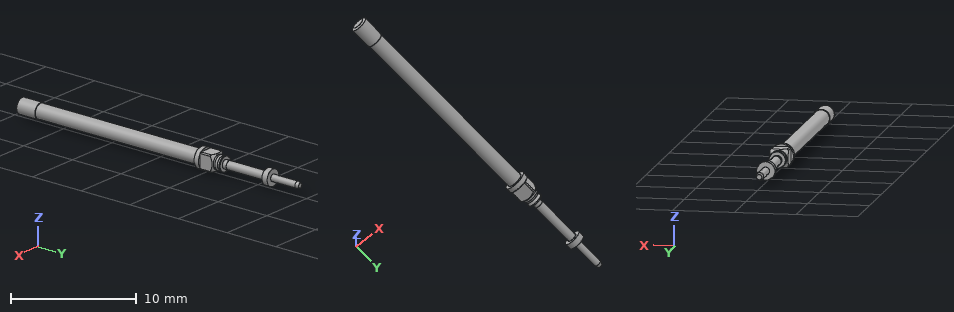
import cadquery as cq

TOTAL_LENGTH = 28.7

TIP_DIAMETER = 0.63
TIP_CHAMFER_LENGTH = 0.3
TIP_CHAMFER_DEPTH = 0.1

COLLAR_DIAMETER = 1.5
COLLAR_START = 2.8
COLLAR_WIDTH = 0.55

SHAFT_DIAMETER = 0.8
SHAFT_END = 7.3
NECK_DIAMETER = 0.79

MOUTH_DIAMETER = 1.35
MOUTH_START = 7.7
MOUTH_LIP_WIDTH = 0.1
GROOVE_DIAMETER = 1.17
GROOVE_BOTTOM = 8.05
GROOVE_END = 8.23

SQUARE_WIDTH = 1.5
SQUARE_CORNER_DIAMETER = 1.98
SQUARE_START = 8.4
SQUARE_CHAMFER_LENGTH = 0.25

FLANGE_DIAMETER = 1.9
FLANGE_START = 9.7
FLANGE_WIDTH = 0.45

BARREL_DIAMETER = 1.35
SLEEVE_DIAMETER = 1.45
SLEEVE_LENGTH = 2.0
SLEEVE_CHAMFER_LENGTH = 0.1
SLEEVE_CHAMFER_DEPTH = 0.23

FLANGE_END = FLANGE_START + FLANGE_WIDTH


def y_at(station):
    """Y position of a distance measured back from the tip."""
    return FLANGE_END - station


def revolve_profile(rings):
    """Turn a body about the Y axis from (diameter, station) pairs."""
    outline = [(diameter / 2, y_at(station)) for diameter, station in rings]
    outline.insert(0, (0, outline[0][1]))
    outline.append((0, outline[-1][1]))
    return cq.Workplane("XY").polyline(outline).close().revolve(360, (0, 0), (0, 1))


def cylinder(diameter, start, end):
    return revolve_profile([(diameter, start), (diameter, end)])


def plunger():
    """Chamfered tip, collar, shaft and neck, ending at the mouth."""
    pin = revolve_profile([
        (TIP_DIAMETER - 2 * TIP_CHAMFER_DEPTH, 0),
        (TIP_DIAMETER, TIP_CHAMFER_LENGTH),
        (TIP_DIAMETER, COLLAR_START),
    ])
    collar = cylinder(COLLAR_DIAMETER, COLLAR_START, COLLAR_START + COLLAR_WIDTH)
    shaft = cylinder(SHAFT_DIAMETER, COLLAR_START + COLLAR_WIDTH, SHAFT_END)
    neck = cylinder(NECK_DIAMETER, SHAFT_END, MOUTH_START)
    return pin.union(collar).union(shaft).union(neck)


def mouth():
    """Grooved ring ahead of the square section."""
    return revolve_profile([
        (MOUTH_DIAMETER, MOUTH_START),
        (MOUTH_DIAMETER, MOUTH_START + MOUTH_LIP_WIDTH),
        (GROOVE_DIAMETER, GROOVE_BOTTOM),
        (MOUTH_DIAMETER, GROOVE_END),
        (MOUTH_DIAMETER, SQUARE_START),
    ])


def square_section():
    """Square prism trimmed by a cylinder with a conical front."""
    length = FLANGE_START - SQUARE_START
    middle = y_at(SQUARE_START + length / 2)
    prism = cq.Workplane("XY").box(SQUARE_WIDTH, length, SQUARE_WIDTH).translate((0, middle, 0))
    envelope = revolve_profile([
        (MOUTH_DIAMETER, SQUARE_START),
        (SQUARE_CORNER_DIAMETER, SQUARE_START + SQUARE_CHAMFER_LENGTH),
        (SQUARE_CORNER_DIAMETER, FLANGE_START),
    ])
    return prism.intersect(envelope)


def barrel():
    """Flange, long barrel and tail sleeve with a chamfered end."""
    sleeve_start = TOTAL_LENGTH - SLEEVE_LENGTH
    flange = cylinder(FLANGE_DIAMETER, FLANGE_START, FLANGE_END)
    tube = cylinder(BARREL_DIAMETER, FLANGE_END, sleeve_start)
    sleeve = revolve_profile([
        (SLEEVE_DIAMETER, sleeve_start),
        (SLEEVE_DIAMETER, TOTAL_LENGTH - SLEEVE_CHAMFER_LENGTH),
        (SLEEVE_DIAMETER - 2 * SLEEVE_CHAMFER_DEPTH, TOTAL_LENGTH),
    ])
    return flange.union(tube).union(sleeve)


result = plunger().union(mouth()).union(square_section()).union(barrel())